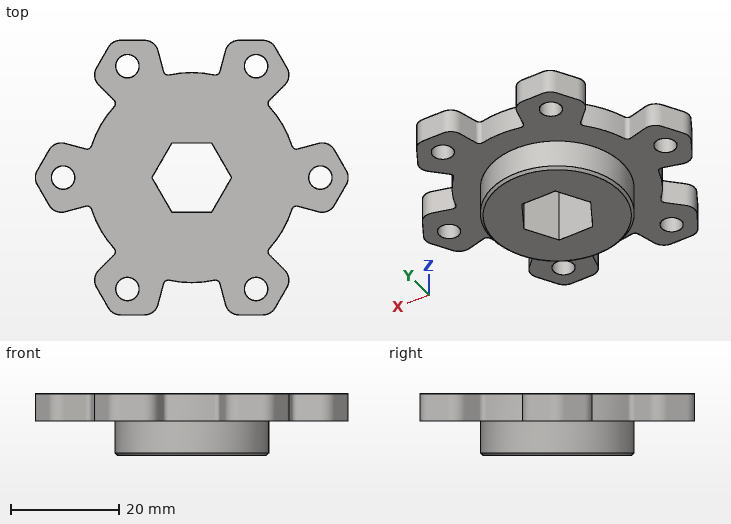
import cadquery as cq
import math

lug_count = 6
lug_pitch = 360 / lug_count
plate_thickness = 5.1
web_radius = 19.45
envelope_flats = 50.8
lug_tip_radius = 28.95
lug_flare_angle = 15
lug_root_half_width = 5.1
lug_corner_fillet = 2.6
lug_root_fillet = 0.85

bolt_circle_radius = 23.8
bolt_hole_diameter = 4.3
bore_flats = 12.75

total_height = 11.45
hub_diameter = 28.5
hub_chamfer = 0.5
hub_height = total_height - plate_thickness

match_tolerance = 0.005

corner_factor = 1 / math.cos(math.radians(lug_pitch / 2))
envelope_corner_radius = envelope_flats / 2 * corner_factor
lug_tip_fillet = (envelope_corner_radius - lug_tip_radius) / (corner_factor - 1)


def hexagon_prism(flats, height):
    """Hexagonal prism from z = 0 up, with a corner on the X axis."""
    return cq.Workplane("XY").polygon(6, flats * corner_factor).extrude(height)


def lug():
    """Lug along +X, flaring outward to the two envelope flats beside its tip."""
    flare = math.tan(math.radians(lug_flare_angle))
    flat_slope = math.tan(math.radians(lug_pitch / 2))
    root_x = math.sqrt(web_radius**2 - lug_root_half_width**2)
    half_width_at_corner = lug_root_half_width + flare * (envelope_corner_radius - root_x)
    shoulder_y = half_width_at_corner / (1 + flare * flat_slope)
    shoulder_x = envelope_corner_radius - flat_slope * shoulder_y
    inner_y = lug_root_half_width - flare * root_x
    body = (
        cq.Workplane("XY")
        .polyline([
            (0, -inner_y),
            (shoulder_x, -shoulder_y),
            (envelope_corner_radius, 0),
            (shoulder_x, shoulder_y),
            (0, inner_y),
        ])
        .close()
        .extrude(plate_thickness)
    )
    body = body.edges("|Z and >X").fillet(lug_tip_fillet)
    shoulders = cq.selectors.BoxSelector(
        (shoulder_x - match_tolerance, -shoulder_y - match_tolerance, 0),
        (shoulder_x + match_tolerance, shoulder_y + match_tolerance, plate_thickness),
    )
    return body.edges("|Z").edges(shoulders).fillet(lug_corner_fillet)


def root_edges(plate):
    """Upright edges where the lug sides meet the web."""
    return plate.edges("|Z").filter(
        lambda edge: abs(math.hypot(edge.Center().x, edge.Center().y) - web_radius) < match_tolerance
    )


def make_plate():
    plate = cq.Workplane("XY").circle(web_radius).extrude(plate_thickness)
    single_lug = lug()
    for index in range(lug_count):
        plate = plate.union(single_lug.rotate((0, 0, 0), (0, 0, 1), index * lug_pitch))
    plate = root_edges(plate).fillet(lug_root_fillet)
    return (
        plate.faces(">Z").workplane(origin=(0, 0, plate_thickness))
        .polarArray(bolt_circle_radius, 0, 360, lug_count)
        .hole(bolt_hole_diameter)
    )


def make_hub():
    hub = cq.Workplane("XY").circle(hub_diameter / 2).extrude(-hub_height)
    return hub.faces("<Z").edges().chamfer(hub_chamfer)


bore = hexagon_prism(bore_flats, total_height).translate((0, 0, -hub_height))
result = make_plate().union(make_hub()).cut(bore)